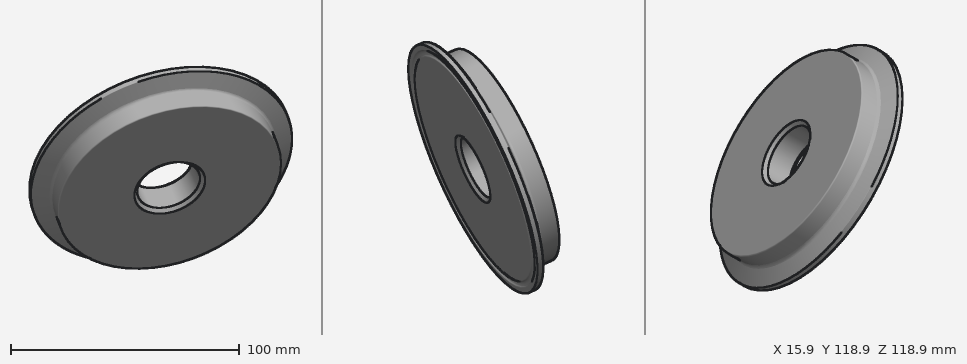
import cadquery as cq
import math

LENGTH = 15.875
FLANGE_DIAMETER = 118.92
NECK_DIAMETER = 101.6

RIM_WIDTH = 3.0
CONE_ANGLE = 20.0
RIM_ROUND = 0.3
NECK_FILLET = 1.5
NECK_END_ROUND = 0.6

GROOVE_DIAMETER = 110.4
GROOVE_RADIUS = 1.5
GROOVE_LIP_RADIUS = 0.6
GROOVE_WALL_ANGLE = 60.0

BORE_DIAMETER = 28.575
BORE_MOUTH_DIAMETER = 32.2
BORE_CHAMFER_DEPTH = 1.8

EDGE_TOLERANCE = 0.01


def revolve_about_x(profile):
    """Revolve an XY profile, with Y as the radius, around the X axis."""
    return profile.close().revolve(360, (0, 0, 0), (1, 0, 0))


def round_circle(solid, x, size):
    """Fillet the circular edge lying in the plane at the given X."""
    reach = FLANGE_DIAMETER
    plane_slab = cq.selectors.BoxSelector(
        (x - EDGE_TOLERANCE, -reach, -reach), (x + EDGE_TOLERANCE, reach, reach)
    )
    return solid.edges("%CIRCLE").edges(plane_slab).fillet(size)


def ferrule_body():
    """Flange, cone and neck as one turned solid with rounded corners."""
    rim_radius = FLANGE_DIAMETER / 2
    neck_radius = NECK_DIAMETER / 2
    cone_length = (rim_radius - neck_radius) * math.tan(math.radians(CONE_ANGLE))
    cone_end = RIM_WIDTH + cone_length
    body = revolve_about_x(
        cq.Workplane("XY")
        .lineTo(0, rim_radius)
        .lineTo(RIM_WIDTH, rim_radius)
        .lineTo(cone_end, neck_radius)
        .lineTo(LENGTH, neck_radius)
        .lineTo(LENGTH, 0)
    )

    body = round_circle(body, RIM_WIDTH, RIM_ROUND)
    body = round_circle(body, cone_end, NECK_FILLET)
    return round_circle(body, LENGTH, NECK_END_ROUND)


def gasket_groove():
    """Ring cutter: concave arc blended into the face by tangent lip arcs."""
    center = GROOVE_DIAMETER / 2
    angle = math.radians(GROOVE_WALL_ANGLE)
    depth = (GROOVE_RADIUS + GROOVE_LIP_RADIUS) * (1 - math.cos(angle))
    blend_depth = GROOVE_LIP_RADIUS * (1 - math.cos(angle))
    blend_offset = GROOVE_RADIUS * math.sin(angle)
    lip_offset = (GROOVE_RADIUS + GROOVE_LIP_RADIUS) * math.sin(angle)
    lip_mid_depth = GROOVE_LIP_RADIUS * (1 - math.cos(angle / 2))
    lip_mid_offset = lip_offset - GROOVE_LIP_RADIUS * math.sin(angle / 2)
    return revolve_about_x(
        cq.Workplane("XY")
        .moveTo(0, center - lip_offset)
        .threePointArc((lip_mid_depth, center - lip_mid_offset), (blend_depth, center - blend_offset))
        .threePointArc((depth, center), (blend_depth, center + blend_offset))
        .threePointArc((lip_mid_depth, center + lip_mid_offset), (0, center + lip_offset))
    )


def bore():
    """Through bore cutter with a conical mouth at each end."""
    bore_radius = BORE_DIAMETER / 2
    mouth_radius = BORE_MOUTH_DIAMETER / 2
    return revolve_about_x(
        cq.Workplane("XY")
        .lineTo(0, mouth_radius)
        .lineTo(BORE_CHAMFER_DEPTH, bore_radius)
        .lineTo(LENGTH - BORE_CHAMFER_DEPTH, bore_radius)
        .lineTo(LENGTH, mouth_radius)
        .lineTo(LENGTH, 0)
    )


result = ferrule_body().cut(gasket_groove()).cut(bore())